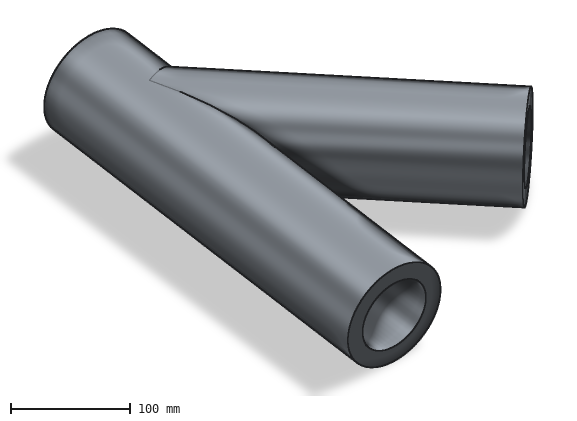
import cadquery as cq
import math

outer_diameter = 101.5
bore_diameter = 69.3
main_length = 393.7
branch_start_x = 76.0
branch_length = 317.7
branch_angle = 45.0

branch_radians = math.radians(branch_angle)
branch_direction = (math.cos(branch_radians), math.sin(branch_radians), 0)

main_end = cq.Plane(origin=(0, 0, 0), xDir=(0, 1, 0), normal=(1, 0, 0))
branch_root = cq.Plane(
    origin=(branch_start_x, 0, 0),
    xDir=(0, 0, 1),
    normal=branch_direction,
)


def rod(plane, diameter, length):
    """Solid cylinder along the normal of the plane."""
    return cq.Workplane(plane).circle(diameter / 2).extrude(length)


def wye(diameter):
    """Straight run joined with the angled branch, both of one diameter."""
    main_run = rod(main_end, diameter, main_length)
    branch = rod(branch_root, diameter, branch_length)
    return main_run.union(branch)


result = wye(outer_diameter).cut(wye(bore_diameter))